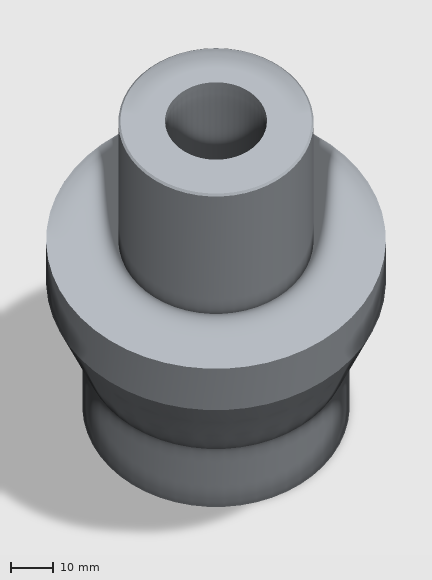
import cadquery as cq

flange_diameter = 80.0
neck_diameter = 46.0
base_diameter = 63.0
bore_diameter = 24.0

base_height = 21.0
cone_height = 24.0
flange_height = 15.0
neck_height = 43.0

neck_chamfer = 0.5

cone_bottom = base_height
flange_bottom = cone_bottom + cone_height
flange_top = flange_bottom + flange_height
neck_top = flange_top + neck_height


def turned_body():
    """Revolve the half section, bore included, about the Z axis."""
    bore_radius = bore_diameter / 2
    base_radius = base_diameter / 2
    flange_radius = flange_diameter / 2
    neck_radius = neck_diameter / 2
    section = [
        (bore_radius, 0),
        (base_radius, 0),
        (base_radius, cone_bottom),
        (flange_radius, flange_bottom),
        (flange_radius, flange_top),
        (neck_radius, flange_top),
        (neck_radius, neck_top - neck_chamfer),
        (neck_radius - neck_chamfer, neck_top),
        (bore_radius, neck_top),
    ]
    return cq.Workplane("XZ").polyline(section).close().revolve(360, (0, 0, 0), (0, 1, 0))


result = turned_body()